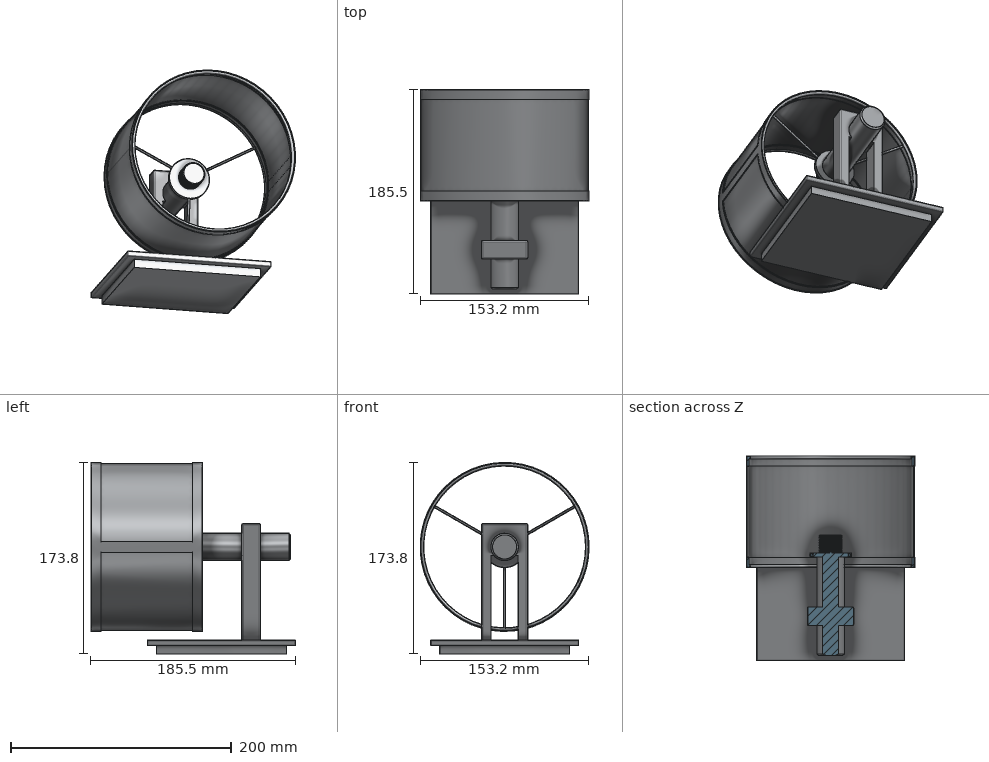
import cadquery as cq
import math


foot_side = 118.0
foot_height = 7.8
plate_side = 134.3
plate_thickness = 5.0
plate_edge_round = 0.7

shade_rear = 185.5
shade_length = 101.3
shade_front = shade_rear - shade_length
shade_wall = 0.7
band_radius = 76.6
band_thickness = 0.7
band_width = 9.3
seam_height = 9.6
shade_radius = band_radius - band_thickness
shade_inner_radius = shade_radius - shade_wall
band_inner_radius = shade_inner_radius - band_thickness
total_height = 173.8
axis_z = total_height - band_radius

wire_radius = 1.5
wire_ring_radius = 74.8

post_width = 42.0
post_depth = 17.0
post_front = 31.7
post_top = 118.3
post_round = 1.5
slot_width = 24.5
slot_top = 89.5

tube_radius = 12.5
tube_front = 4.6
tube_chamfer = 1.5
flange_radius = 18.7
flange_thickness = 3.7
flange_front = 93.9
flange_rear = flange_front + flange_thickness
thread_radius = 10.4
thread_depth = 1.0
thread_pitch = 1.5
thread_turns = 11

spoke_radius = 1.0
spoke_count = 3
spoke_start_radius = 16.7
spoke_bend_radius = 21.0
spoke_end_depth = 2.6


def centred_block(side, bottom, height):
    """Square block whose middle lies under the middle of the base plate."""
    block = cq.Workplane("XY").box(side, side, height, centered=(True, True, False))
    return block.translate((0, plate_side / 2, bottom))


def rod(radius, start, end):
    """Solid cylinder along the lamp axis from Y = start to Y = end."""
    plane = cq.Workplane("XZ", origin=(0, start, axis_z))
    return plane.circle(radius).extrude(start - end)


def make_base():
    foot = centred_block(foot_side, 0, foot_height)
    plate = centred_block(plate_side, foot_height, plate_thickness).edges().fillet(plate_edge_round)
    return foot.union(plate)


def make_post():
    """Two-legged post whose legs pass down through the plate to the foot."""
    post = cq.Workplane("XY").box(
        post_width, post_depth, post_top - foot_height, centered=(True, False, False)
    )
    post = post.edges("|Z or >Z").fillet(post_round)
    slot = cq.Workplane("XY").box(
        slot_width, post_depth, slot_top - foot_height, centered=(True, False, False)
    )
    return post.cut(slot).translate((0, post_front, foot_height))


def make_lamp_tube():
    tube = rod(tube_radius, tube_front, flange_rear).faces("<Y").chamfer(tube_chamfer)
    tube = tube.union(rod(flange_radius, flange_front, flange_rear))
    root_radius = thread_radius - thread_depth
    half_pitch = thread_pitch / 2
    profile = cq.Workplane("XY").moveTo(0, flange_front).lineTo(root_radius, flange_front)
    profile = profile.lineTo(root_radius, flange_rear)
    for turn in range(thread_turns):
        root = flange_rear + turn * thread_pitch
        profile = profile.lineTo(thread_radius, root + half_pitch)
        profile = profile.lineTo(root_radius, root + thread_pitch)
    profile = profile.lineTo(0, flange_rear + thread_turns * thread_pitch).close()
    socket = profile.revolve(360, (0, 0, 0), (0, 1, 0)).translate((0, 0, axis_z))
    return tube.union(socket)


def shade_half_profile():
    """Outline of one half of the shade wall: X is the radius, Y starts at the shade middle."""
    half_length = shade_length / 2
    band_start = half_length - band_width
    wire_y = half_length - wire_radius
    lip_reach = shade_radius - wire_ring_radius
    wall_reach = band_inner_radius - wire_ring_radius
    lip_y = wire_y + math.sqrt(wire_radius**2 - lip_reach**2)
    wall_y = wire_y - math.sqrt(wire_radius**2 - wall_reach**2)
    wire_inside = (wire_ring_radius - wire_radius, wire_y)
    profile = cq.Workplane("XY").moveTo(shade_inner_radius, 0).lineTo(shade_radius, 0)
    profile = profile.lineTo(shade_radius, band_start).lineTo(band_radius, band_start)
    profile = profile.lineTo(band_radius, half_length).lineTo(shade_radius, half_length)
    profile = profile.lineTo(shade_radius, lip_y)
    profile = profile.threePointArc(wire_inside, (band_inner_radius, wall_y))
    profile = profile.lineTo(band_inner_radius, band_start).lineTo(shade_inner_radius, band_start)
    return profile.close()


def make_shade():
    rear_half = shade_half_profile().revolve(360, (0, 0, 0), (0, 1, 0))
    shade = rear_half.union(rear_half.mirror("XZ"))
    seam_length = shade_length - band_width
    seam_area = cq.Workplane("XY").box(
        band_radius, seam_length, seam_height, centered=(False, True, True)
    ).translate((-band_radius, 0, 0))
    seam_ring = cq.Workplane("XZ").circle(band_radius).circle(shade_inner_radius)
    seam = seam_ring.extrude(seam_length / 2, both=True).intersect(seam_area)
    return shade.union(seam).translate((0, shade_front + shade_length / 2, axis_z))


def wire(start, end):
    """Straight round wire between two points."""
    direction = end - start
    return cq.Workplane(obj=cq.Solid.makeCylinder(spoke_radius, direction.Length, start, direction))


def make_spoke(angle):
    """Bent wire: straight out of the flange, then forward to the front wire ring."""
    flange_y = flange_front + flange_thickness / 2
    inner_point = cq.Vector(0, flange_y, -spoke_start_radius)
    bend_point = cq.Vector(0, flange_y, -spoke_bend_radius)
    ring_point = cq.Vector(0, shade_front + spoke_end_depth, -wire_ring_radius)
    bend = cq.Workplane("XY").sphere(spoke_radius).translate(bend_point)
    spoke = wire(inner_point, bend_point).union(bend).union(wire(bend_point, ring_point))
    return spoke.rotate((0, 0, 0), (0, 1, 0), angle).translate((0, 0, axis_z))


result = make_base().union(make_post()).union(make_lamp_tube()).union(make_shade())
for spoke_index in range(spoke_count):
    result = result.union(make_spoke(spoke_index * 360 / spoke_count))